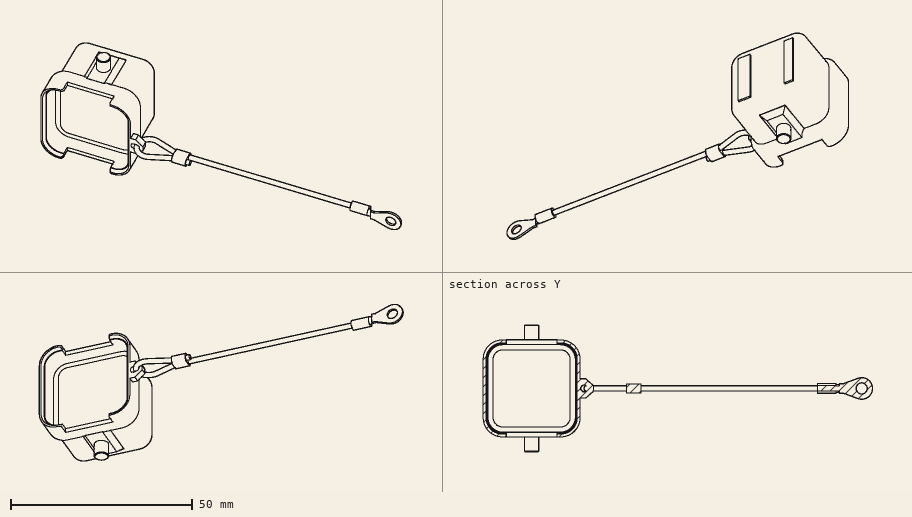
import cadquery as cq
import math


skirt_side = 26.9
skirt_corner = 5.4
skirt_depth = 8.5
shoulder_radius = 1.9
crown_side = 23.9
crown_corner = 4.1
crown_taper = 0.4
cap_depth = 22.4
crown_edge_radius = 1.9

rim_edge = 0.5
mouth_corner = 4.8
mouth_depth = 1.1
mouth_taper = 25
rim_wall = 1.2
recess_corner = 4.3
recess_depth = 7.3
recess_taper = 1.5
cavity_side = 21.3
cavity_corner = 2.7
cavity_floor_wall = 1.3
cavity_floor_radius = 1.1

notch_width = 14.0
notch_depth = 3.5
notch_edge_radius = 0.9

block_width = 8.2
block_start = 7.0
block_end = 19.1
block_bevel = 1.5
block_sink = 2.1
pin_diameter = 4.0
pin_span = 35.0
pin_y = 12.7
pin_chamfer = 0.2

back_strips = [(-8.6, -5.9), (4.9, 8.7)]
strip_bottom = -7.3
strip_top = 8.6
strip_height = 0.5
strip_sink = 0.3

tab_height = 5.4
tab_thickness = 2.0
tab_length = 3.7
tab_straight = 1.5
tab_tip_height = 1.5
tab_sink = 0.5
eyelet_diameter = 1.8
eyelet_x = 14.5

cable_diameter = 1.5
loop_radius = 3.4
loop_x = 18.6
loop_y = 1.0
strand_offset = 1.0
bend_x = 26.5
bend_length = 1.5
tail_end_x = 31.3
ferrule_start_x = 26.1
ferrule_length = 4.1
ferrule_width = 4.0
ferrule_height = 2.6
ferrule_corner = 1.0

barrel_start_x = 78.8
barrel_length = 5.2
barrel_diameter = 2.8
neck_length = 1.0
neck_width = 2.3
lug_thickness = 0.6
lug_end_x = 94.0
lug_ring_radius = 3.0
lug_hole_diameter = 3.0
lug_shank_width = 2.7
lug_flare_x = 86.0

half_skirt = skirt_side / 2
cable_y = loop_y + strand_offset
barrel_end_x = barrel_start_x + barrel_length


def rounded_prism(side, corner, start_y, end_y, taper=0.0):
    """Square prism with round corners, extruded along +Y and narrowing by the taper angle."""
    return (
        cq.Workplane("XZ", origin=(0, start_y, 0))
        .sketch()
        .rect(side, side)
        .vertices()
        .fillet(corner)
        .finalize()
        .extrude(start_y - end_y, taper=taper)
    )


def box_between(x_range, y_range, z_range):
    """Box given by its lower and upper limits along each axis."""
    sizes = [high - low for low, high in (x_range, y_range, z_range)]
    corner = (x_range[0], y_range[0], z_range[0])
    return cq.Workplane("XY").box(*sizes, centered=False).translate(corner)


def cap_outside():
    skirt = rounded_prism(skirt_side, skirt_corner, 0, skirt_depth)
    skirt = skirt.faces(">Y").edges().fillet(shoulder_radius)
    crown = rounded_prism(crown_side, crown_corner, notch_depth, cap_depth, crown_taper)
    crown = crown.faces(">Y").edges().fillet(crown_edge_radius)
    return skirt.union(crown)


def cap_inside():
    mouth = rounded_prism(skirt_side - 2 * rim_edge, mouth_corner, 0, mouth_depth, mouth_taper)
    recess_side = skirt_side - 2 * rim_wall
    recess = rounded_prism(recess_side, recess_corner, 0, recess_depth, recess_taper)
    cavity_end = cap_depth - cavity_floor_wall
    cavity = rounded_prism(cavity_side, cavity_corner, notch_depth, cavity_end)
    cavity = cavity.faces(">Y").edges().fillet(cavity_floor_radius)
    return mouth.union(recess).union(cavity)


def rim_notches():
    """Notch profile with flared, rounded mouth edges, cut through both Z walls."""
    half_width = notch_width / 2
    mouth_half_width = half_width + notch_edge_radius
    arc_offset = notch_edge_radius * (1 - math.sqrt(0.5))
    return (
        cq.Workplane("XY")
        .moveTo(-mouth_half_width, 0)
        .threePointArc((-half_width - arc_offset, arc_offset), (-half_width, notch_edge_radius))
        .lineTo(-half_width, notch_depth)
        .lineTo(half_width, notch_depth)
        .lineTo(half_width, notch_edge_radius)
        .threePointArc((half_width + arc_offset, arc_offset), (mouth_half_width, 0))
        .close()
        .extrude(half_skirt, both=True)
    )


def latch_block():
    """Block on the +Z wall, bevelled on every side except the one meeting the skirt."""
    block = box_between(
        (-block_width / 2, block_width / 2),
        (block_start, block_end),
        (half_skirt - block_sink, half_skirt),
    )
    bevelled = block.faces(">Z").edges("|Y or >Y")
    return bevelled.chamfer(block_bevel)


def pin():
    root_z = half_skirt - block_sink
    body = cq.Workplane("XY", origin=(0, pin_y, root_z)).circle(pin_diameter / 2)
    body = body.extrude(pin_span / 2 - root_z)
    return body.faces(">Z").edges().chamfer(pin_chamfer)


def back_strip(x_range):
    y_range = (cap_depth - strip_sink, cap_depth + strip_height)
    return box_between(x_range, y_range, (strip_bottom, strip_top))


def eyelet_tab():
    root_x = half_skirt - tab_sink
    shoulder_x = half_skirt + tab_straight
    tip_x = half_skirt + tab_length
    outline = [
        (root_x, -tab_height / 2),
        (shoulder_x, -tab_height / 2),
        (tip_x, -tab_tip_height / 2),
        (tip_x, tab_tip_height / 2),
        (shoulder_x, tab_height / 2),
        (root_x, tab_height / 2),
    ]
    tab = cq.Workplane("XZ").polyline(outline).close().extrude(-tab_thickness)
    hole = cq.Workplane("XZ").center(eyelet_x, 0).circle(eyelet_diameter / 2).extrude(-tab_thickness)
    return tab.cut(hole)


def cable():
    """One cable from its tail, round the loop and back through the ferrule to the lug."""
    reach = bend_x - loop_x
    slope = math.asin(loop_radius / math.hypot(reach, strand_offset)) - math.atan2(strand_offset, reach)
    tangent_x = loop_x + loop_radius * math.sin(slope)
    tangent_rise = loop_radius * math.cos(slope)
    bend_start_x = bend_x - bend_length * math.cos(slope)
    bend_start_rise = strand_offset + bend_length * math.sin(slope)
    bend_end_x = bend_x + bend_length
    tail_y = loop_y - strand_offset
    path = (
        cq.Workplane("XY")
        .moveTo(tail_end_x, tail_y)
        .lineTo(bend_end_x, tail_y)
        .tangentArcPoint((bend_start_x, loop_y - bend_start_rise), relative=False)
        .lineTo(tangent_x, loop_y - tangent_rise)
        .threePointArc((loop_x - loop_radius, loop_y), (tangent_x, loop_y + tangent_rise))
        .lineTo(bend_start_x, loop_y + bend_start_rise)
        .tangentArcPoint((bend_end_x, cable_y), relative=False)
        .lineTo(barrel_end_x, cable_y)
    )
    section = cq.Workplane("YZ", origin=(tail_end_x, tail_y, 0)).circle(cable_diameter / 2)
    return section.sweep(path)


def ferrule():
    body = cq.Workplane("YZ", origin=(ferrule_start_x, loop_y, 0)).rect(ferrule_width, ferrule_height)
    return body.extrude(ferrule_length).edges("|X").fillet(ferrule_corner)


def lug():
    barrel = cq.Workplane("YZ", origin=(barrel_start_x, cable_y, 0)).circle(barrel_diameter / 2)
    barrel = barrel.extrude(barrel_length)

    plate_low = cable_y - barrel_diameter / 2
    plate_high = plate_low + lug_thickness
    neck_end_x = barrel_end_x + neck_length
    neck_outline = [
        (barrel_end_x, plate_low),
        (neck_end_x, plate_low),
        (neck_end_x, plate_high),
        (barrel_end_x, cable_y),
    ]
    neck_radius = neck_width / 2
    neck = cq.Workplane("XY").polyline(neck_outline).close().extrude(neck_radius, both=True)
    neck_round = cq.Workplane("YZ", origin=(barrel_end_x, plate_low + neck_radius, 0)).circle(neck_radius)
    neck = neck.intersect(neck_round.extrude(neck_length))

    ring_x = lug_end_x - lug_ring_radius
    shank_half = lug_shank_width / 2
    flare_run = ring_x - lug_flare_x
    flare_distance = math.hypot(flare_run, shank_half)
    flare_slope = math.asin(lug_ring_radius / flare_distance) - math.atan2(shank_half, flare_run)
    tangent_x = ring_x - lug_ring_radius * math.sin(flare_slope)
    tangent_z = lug_ring_radius * math.cos(flare_slope)
    plate = (
        cq.Workplane("XZ", origin=(0, plate_low, 0))
        .moveTo(neck_end_x, -shank_half)
        .lineTo(lug_flare_x, -shank_half)
        .lineTo(tangent_x, -tangent_z)
        .threePointArc((lug_end_x, 0), (tangent_x, tangent_z))
        .lineTo(lug_flare_x, shank_half)
        .lineTo(neck_end_x, shank_half)
        .close()
        .extrude(-lug_thickness)
    )
    hole = cq.Workplane("XZ", origin=(ring_x, plate_low, 0)).circle(lug_hole_diameter / 2)
    plate = plate.cut(hole.extrude(-lug_thickness))
    return barrel.union(neck).union(plate)


result = cap_outside()
for feature in (latch_block(), pin()):
    result = result.union(feature).union(feature.mirror("XY"))
result = result.cut(cap_inside()).cut(rim_notches())
for x_range in back_strips:
    result = result.union(back_strip(x_range))
result = result.union(eyelet_tab()).union(cable()).union(ferrule()).union(lug())